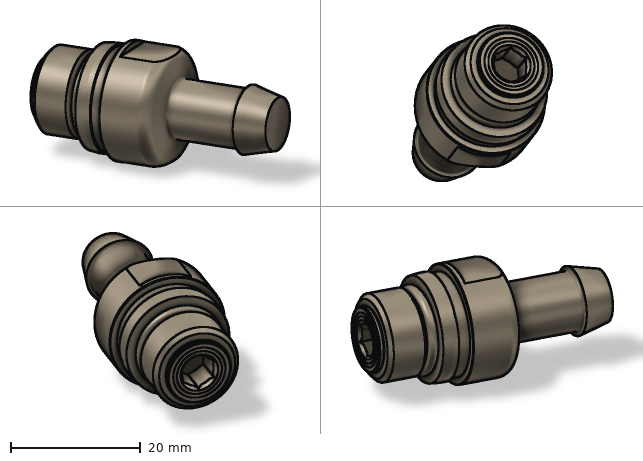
import cadquery as cq
import math

nose_end = 0.98
plug_chamfer_end = 1.7
plug_taper_start = 7.0
relief_start = 7.5
ring_center = 8.6
collar_start = 9.4
collar_taper_end = 11.0
collar_end = 12.0
body_start = 14.0
flat_start = 15.0
shoulder_start = 20.4
barb_start = 35.0
total_length = 40.0

nose_radius = 10.5 / 2
plug_radius = 14.0 / 2
plug_front_radius = 12.5 / 2
relief_radius = 12.0 / 2
collar_front_radius = 8.48
collar_radius = 17.3 / 2
neck_radius = 16.6 / 2
body_radius = 19.0 / 2
tube_radius = 9.5 / 2
barb_radius = 11.0 / 2
barb_tip_radius = 4.25

nose_chamfer = 0.2
body_edge_chamfer = 0.1
shoulder_radius = 2.1
cone_slope = math.radians(75)
tube_root_fillet = 0.45
barb_root_fillet = 0.25

ring_outer_radius = 7.2
ring_section_radius = 0.85

flats_width = 17.0

face_groove_radius = 8.0 / 2
face_groove_half_width = 0.3
face_groove_depth = 0.15
socket_mouth_radius = 6.2 / 2
socket_hex_width = 5.0
socket_bore_radius = 5.2 / 2
socket_depth = 5.0
socket_cone_depth = 0.7


def shoulder_profile(sketch):
    """Round the body over, run a steep cone inward and blend it into the tube."""
    arc_center_r = body_radius - shoulder_radius
    arc_middle = (
        shoulder_start + shoulder_radius * math.sin(cone_slope / 2),
        arc_center_r + shoulder_radius * math.cos(cone_slope / 2),
    )
    arc_end = (
        shoulder_start + shoulder_radius * math.sin(cone_slope),
        arc_center_r + shoulder_radius * math.cos(cone_slope),
    )
    fillet_top_r = tube_radius + tube_root_fillet
    cone_end = arc_end[0] + (arc_end[1] - fillet_top_r) / math.tan(cone_slope)
    return (
        sketch.threePointArc(arc_middle, arc_end)
        .lineTo(cone_end, fillet_top_r)
        .radiusArc((cone_end + tube_root_fillet, tube_radius), -tube_root_fillet)
    )


def turned_body():
    """Revolve the outer profile around the X axis."""
    profile = (
        cq.Workplane("XY")
        .lineTo(0, face_groove_radius - face_groove_half_width)
        .threePointArc(
            (face_groove_depth, face_groove_radius),
            (0, face_groove_radius + face_groove_half_width),
        )
        .lineTo(0, nose_radius - nose_chamfer)
        .lineTo(nose_chamfer, nose_radius)
        .lineTo(nose_end - nose_chamfer, nose_radius)
        .lineTo(nose_end, nose_radius - nose_chamfer)
        .lineTo(nose_end, plug_front_radius)
        .lineTo(plug_chamfer_end, plug_radius)
        .lineTo(plug_taper_start, plug_radius)
        .lineTo(relief_start, relief_radius)
        .lineTo(collar_start, relief_radius)
        .lineTo(collar_start, collar_front_radius)
        .lineTo(collar_taper_end, collar_radius)
        .lineTo(collar_end, collar_radius)
        .lineTo(collar_end, neck_radius)
        .lineTo(body_start, neck_radius)
        .lineTo(body_start, body_radius - body_edge_chamfer)
        .lineTo(body_start + body_edge_chamfer, body_radius)
        .lineTo(shoulder_start, body_radius)
    )
    profile = (
        shoulder_profile(profile)
        .lineTo(barb_start - barb_root_fillet, tube_radius)
        .radiusArc((barb_start, tube_radius + barb_root_fillet), -barb_root_fillet)
        .lineTo(barb_start, barb_radius)
        .lineTo(total_length, barb_tip_radius)
        .lineTo(total_length, 0)
        .close()
    )
    return profile.revolve(360, (0, 0, 0), (1, 0, 0))


def torus(axial_position, center_radius, section_radius):
    """Ring of circular section around the X axis."""
    return (
        cq.Workplane("XY")
        .center(axial_position, center_radius)
        .circle(section_radius)
        .revolve(360, (0, -center_radius, 0), (1, -center_radius, 0))
    )


def wrench_flats():
    """Two blocks that trim the body to flats above and below the axis."""
    length = barb_start - flat_start
    block = cq.Workplane("XY").box(length, 2 * body_radius, body_radius, centered=(False, True, False))
    upper = block.translate((flat_start, 0, flats_width / 2))
    return upper.union(upper.mirror("XY"))


def hex_socket():
    """Blind hexagon with relieved flats and a conical lead-in."""
    face = cq.Workplane("YZ")
    corner_diameter = socket_hex_width / math.cos(math.pi / 6)
    hexagon = face.transformed(rotate=(0, 0, 90)).polygon(6, corner_diameter).extrude(socket_depth)
    bore = face.circle(socket_bore_radius).extrude(socket_depth)
    lead_in = (
        cq.Workplane("XY")
        .lineTo(0, socket_mouth_radius)
        .lineTo(socket_cone_depth, socket_bore_radius)
        .lineTo(socket_cone_depth, 0)
        .close()
        .revolve(360, (0, 0, 0), (1, 0, 0))
    )
    return hexagon.union(bore).union(lead_in)


result = (
    turned_body()
    .union(torus(ring_center, ring_outer_radius - ring_section_radius, ring_section_radius))
    .cut(wrench_flats())
    .cut(hex_socket())
)